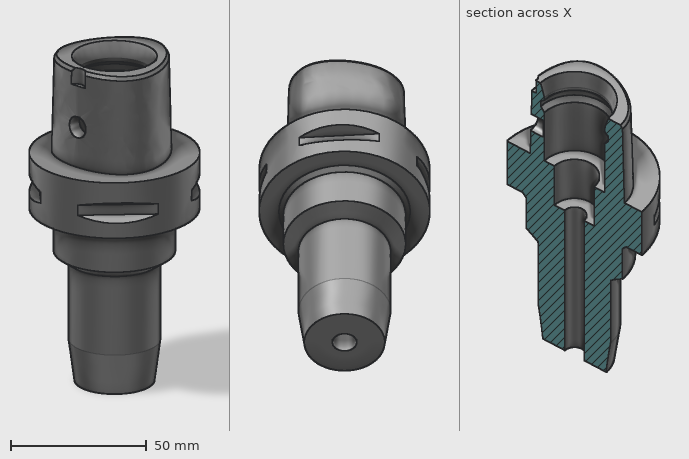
import cadquery as cq
import math

total_height = 128.0
nose_top = 16.4
body_top = 47.4
collar_bottom = 51.2
collar_top = 66.3
flange_bottom = 68.1
shank_base = 90.0

nose_radius = 14.8
body_radius = 17.0
collar_radius = 22.5
flange_neck_radius = 24.2
flange_radius = 31.5

shank_mean_radius = 22.08
lobe_height = 1.35
taper_slope = 1 / 40
shank_chamfer_height = 1.4
shank_chamfer_inset = 0.96
lobe_direction = math.pi / 2

mouth_radius = 15.7
bore_radius = 14.0
undercut_radius = 15.6
mouth_cone_depth = 6.1
lip_depth = 7.7
undercut_start_depth = 9.2
undercut_end_depth = 11.6
undercut_exit_depth = 13.8
bore_depth = total_height - shank_base
counterbore_radius = 9.2
counterbore_depth = 57.6
through_radius = 4.5

notch_radius = 4.2
notch_depth = 6.3
notch_inner_y = -17.9
side_hole_radius = 4.1
side_hole_z = 105.6
side_hole_floor_y = -14.7

groove_count = 4
groove_first_angle = 45.0
groove_floor_distance = 27.8
groove_floor_bottom = 76.0
groove_floor_top = 80.0
groove_flare = 2.0


def turned(points):
    """Revolve a closed (radius, z) outline about the Z axis."""
    return cq.Workplane("XZ").polyline(points).close().revolve(360, (0, 0, 0), (0, 1, 0))


def lobed_wire(mean_radius, z):
    """Closed hypotrochoid section of the shank at height z."""

    def point(turn):
        angle = 2 * math.pi * turn
        x = mean_radius * math.cos(angle) + lobe_height * math.cos(2 * angle)
        y = mean_radius * math.sin(angle) - lobe_height * math.sin(2 * angle)
        cosine, sine = math.cos(lobe_direction), math.sin(lobe_direction)
        return (x * cosine - y * sine, x * sine + y * cosine, z)

    section_points = 36
    points = [cq.Vector(*point(i / section_points)) for i in range(section_points)]
    return cq.Wire.assembleEdges([cq.Edge.makeSpline(points, periodic=True)])


def make_body():
    return turned([
        (0, 0),
        (nose_radius, 0),
        (body_radius, nose_top),
        (body_radius, body_top),
        (collar_radius, collar_bottom),
        (collar_radius, collar_top),
        (flange_neck_radius, flange_bottom),
        (flange_radius, flange_bottom),
        (flange_radius, shank_base),
        (0, shank_base),
    ])


def make_shank():
    chamfer_z = total_height - shank_chamfer_height
    chamfer_radius = shank_mean_radius - taper_slope * (chamfer_z - shank_base)
    base = lobed_wire(shank_mean_radius, shank_base)
    shoulder = lobed_wire(chamfer_radius, chamfer_z)
    tip = lobed_wire(chamfer_radius - shank_chamfer_inset, total_height)
    taper = cq.Solid.makeLoft([base, shoulder], True)
    chamfer = cq.Solid.makeLoft([shoulder, tip], True)
    return cq.Workplane(taper).union(cq.Workplane(chamfer))


def make_bore():
    profile = [
        (0, 0),
        (mouth_radius, 0),
        (bore_radius, mouth_cone_depth),
        (bore_radius, lip_depth),
        (undercut_radius, undercut_start_depth),
        (undercut_radius, undercut_end_depth),
        (bore_radius, undercut_exit_depth),
        (bore_radius, bore_depth),
        (counterbore_radius, bore_depth),
        (counterbore_radius, counterbore_depth),
        (through_radius, counterbore_depth),
        (through_radius, total_height),
        (0, total_height),
    ]
    return turned([(radius, total_height - depth) for radius, depth in profile])


def make_notch():
    """Round-backed slot, open toward -Y, at the shank mouth."""
    arc_center_y = notch_inner_y - notch_radius
    bottom = cq.Workplane("XY").workplane(offset=total_height - notch_depth)
    return (
        bottom.moveTo(-notch_radius, -flange_radius)
        .lineTo(-notch_radius, arc_center_y)
        .threePointArc((0, notch_inner_y), (notch_radius, arc_center_y))
        .lineTo(notch_radius, -flange_radius)
        .close()
        .extrude(notch_depth)
    )


def make_side_hole():
    return (
        cq.Workplane("XZ", origin=(0, side_hole_floor_y, side_hole_z))
        .circle(side_hole_radius)
        .extrude(flange_radius + side_hole_floor_y)
    )


def make_groove(angle):
    """Straight flared groove whose flat floor faces the given direction."""
    return (
        cq.Workplane("XZ")
        .polyline([
            (groove_floor_distance, groove_floor_bottom),
            (flange_radius, groove_floor_bottom - groove_flare),
            (flange_radius, groove_floor_top + groove_flare),
            (groove_floor_distance, groove_floor_top),
        ])
        .close()
        .extrude(flange_radius, both=True)
        .rotate((0, 0, 0), (0, 0, 1), angle)
    )


result = make_body().union(make_shank())
result = result.cut(make_bore()).cut(make_notch()).cut(make_side_hole())
for index in range(groove_count):
    result = result.cut(make_groove(groove_first_angle + index * 360 / groove_count))